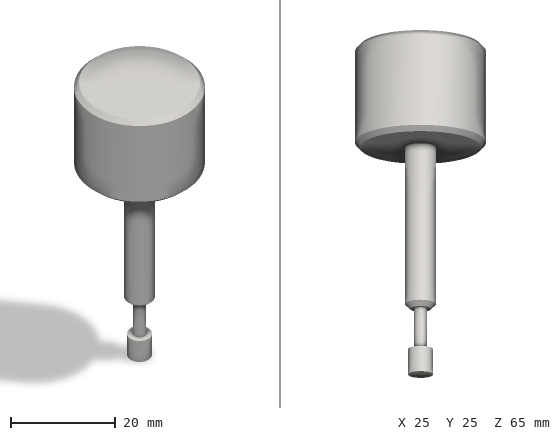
import cadquery as cq

total_length = 65.0

head_diameter = 25.0
head_length = 20.0
stem_diameter = 6.0
neck_diameter = 2.5
neck_length = 8.0
tip_diameter = 4.8
tip_length = 5.0
edge_chamfer = 1.0

neck_bottom = tip_length
stem_bottom = neck_bottom + neck_length
head_bottom = total_length - head_length
stem_length = head_bottom - stem_bottom


def cylinder(diameter, bottom, length):
    """Upright cylinder on the Z axis."""
    return cq.Workplane("XY").workplane(offset=bottom).circle(diameter / 2).extrude(length)


head = cylinder(head_diameter, head_bottom, head_length).faces("<Z or >Z").chamfer(edge_chamfer)

stem = cylinder(stem_diameter, stem_bottom, stem_length).faces("<Z").chamfer(edge_chamfer)

neck = cylinder(neck_diameter, neck_bottom, neck_length)
tip = cylinder(tip_diameter, 0, tip_length)

result = head.union(stem).union(neck).union(tip)